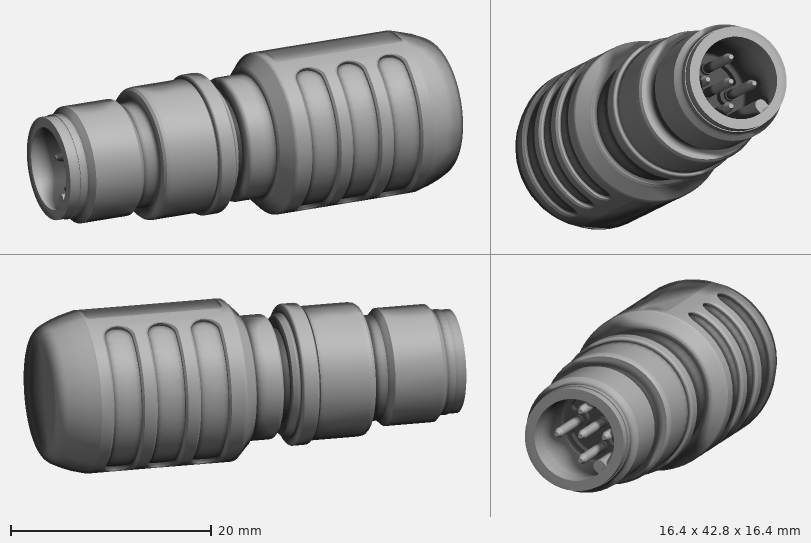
import cadquery as cq
import math

length = 42.8

lip_dia = 10.45
plug_neck_dia = 10.6
plug_dia = 11.85
lip_end = 1.1
plug_start = 2.53
plug_end = 7.55
plug_bevel = (plug_dia - plug_neck_dia) / 2

sleeve_dia = 13.5
sleeve_edge_dia = 13.35
sleeve_nose_dia = 12.93
sleeve_start = 9.7
sleeve_nose_length = 0.25
sleeve_edge_length = 0.4
sleeve_root_fillet = 0.3
sleeve_end = 15.5
ring_groove_dia = 13.15
ring_groove_width = 0.15
ring_dia = 14.25
ring_width = 1.75
ring_fillet = 0.25
ring_start = sleeve_end + ring_groove_width
ring_end = ring_start + ring_width

flange_dia = 12.5
flange_rear_dia = 12.0
flange_rim_length = 0.25
flange_end = 18.15
neck_dia = 9.6
collar_dia = 12.6
collar_start = 19.1
collar_fillet = 0.5

grip_dia = 16.4
grip_radius = grip_dia / 2
grip_front = 22.13
grip_front_dia = 13.82
grip_rim_length = 0.13
grip_rim_dia = 13.4
grip_bevel = (grip_dia - grip_front_dia) / 2
grip_shoulder_y = grip_front + grip_rim_length + grip_bevel
grip_cone_blend = 0.4
dome_start = 38.75
dome_start_dia = 16.3
dome_edge_length = 0.13
dome_chord_dia = 14.12
dome_chord_y = 41.8
dome_bulge = 0.13
rear_face_dia = 12.0
rear_corner_dia = 13.2
rear_corner_drop = 0.35

groove_count = 3
groove_pitch = 4.5
groove_middle_y = 31.3
groove_floor_radius = 7.7
groove_width = 2.9
groove_chamfer = 0.2
groove_half_angle = 57.7

label_width = 3.0
label_length = 14.1
label_middle_y = 31.25
label_corner = 0.4
label_height = 8.05

mouth_dia = 8.4
floor_fillet = 0.3
socket_depth = 8.55

pocket_depth = 0.85
pocket_dia = 7.1
pocket_corner = 0.43
boss_dia = 1.95
lobe_dia = 1.65
lobe_offset = 1.55

ring_pin_count = 4
ring_pin_step = 360 / ring_pin_count
pin_circle_dia = 5.0
pin_dia = 1.0
pin_foot_dia = 1.2
pin_foot_length = 0.43
pin_tip_dia = 0.45
pin_tip_y = 1.85
pin_taper_length = 0.75

key_width = 1.2
key_nose_distance = 3.6
key_start = 0.2
key_angle = -45.0

overlap = 0.43


def make_body():
    """Solid outer shape: one profile of radius against Y, turned about Y."""
    neck_y = plug_end + plug_bevel
    edge_y = sleeve_start + sleeve_nose_length
    dome_middle = ((dome_start_dia + dome_chord_dia) / 4 + dome_bulge, (dome_start + dome_chord_y) / 2)
    profile = (
        cq.Workplane("XY")
        .moveTo(0, 0)
        .lineTo(lip_dia / 2, 0)
        .lineTo(lip_dia / 2, lip_end)
        .lineTo(plug_neck_dia / 2, lip_end)
        .lineTo(plug_neck_dia / 2, plug_start - plug_bevel)
        .lineTo(plug_dia / 2, plug_start)
        .lineTo(plug_dia / 2, plug_end)
        .lineTo(plug_neck_dia / 2, neck_y)
        .lineTo(plug_neck_dia / 2, sleeve_start - sleeve_root_fillet)
        .radiusArc((plug_neck_dia / 2 + sleeve_root_fillet, sleeve_start), sleeve_root_fillet)
        .lineTo(sleeve_nose_dia / 2, sleeve_start)
        .lineTo(sleeve_edge_dia / 2, edge_y)
        .lineTo(sleeve_dia / 2, edge_y + sleeve_edge_length)
        .lineTo(sleeve_dia / 2, sleeve_end)
        .lineTo(ring_groove_dia / 2, sleeve_end)
        .lineTo(ring_groove_dia / 2, ring_start)
        .lineTo(ring_dia / 2 - ring_fillet, ring_start)
        .radiusArc((ring_dia / 2, ring_start + ring_fillet), -ring_fillet)
        .lineTo(ring_dia / 2, ring_end - ring_fillet)
        .radiusArc((ring_dia / 2 - ring_fillet, ring_end), -ring_fillet)
        .lineTo(flange_dia / 2, ring_end)
        .lineTo(flange_dia / 2, ring_end + flange_rim_length)
        .lineTo(flange_rear_dia / 2, flange_end)
        .lineTo(neck_dia / 2, flange_end)
        .lineTo(neck_dia / 2, collar_start)
        .lineTo(collar_dia / 2 - collar_fillet, collar_start)
        .radiusArc((collar_dia / 2, collar_start + collar_fillet), -collar_fillet)
        .lineTo(collar_dia / 2, grip_front)
        .lineTo(grip_rim_dia / 2, grip_front)
        .lineTo(grip_front_dia / 2, grip_front + grip_rim_length)
        .lineTo(grip_radius, grip_shoulder_y)
        .lineTo(grip_radius, dome_start - dome_edge_length)
        .lineTo(dome_start_dia / 2, dome_start)
        .threePointArc(dome_middle, (dome_chord_dia / 2, dome_chord_y))
        .threePointArc((rear_corner_dia / 2, length - rear_corner_drop), (rear_face_dia / 2, length))
        .lineTo(0, length)
        .close()
    )
    body = profile.revolve(360, (0, 0, 0), (0, 1, 0))
    cone_edge = cq.selectors.BoxSelector(
        (-grip_dia, grip_shoulder_y - grip_cone_blend, -grip_dia),
        (grip_dia, grip_shoulder_y + grip_cone_blend, grip_dia),
    )
    return body.edges(cone_edge).fillet(grip_cone_blend)


def make_groove():
    """Cutter for one groove at Y = 0 on the +X side: a swept band with round, flared ends."""
    half = groove_width / 2
    inner = groove_floor_radius
    outer = grip_radius + overlap
    flare_start = grip_radius - groove_chamfer
    flared_half = half + outer - flare_start
    wall = [(flare_start, half), (outer, flared_half)]
    mirrored_wall = [(radius, -offset) for radius, offset in reversed(wall)]

    band_profile = [(inner, -half), (inner, half)] + wall + mirrored_wall
    band = (
        cq.Workplane("XY")
        .polyline(band_profile)
        .close()
        .revolve(2 * groove_half_angle, (0, 0, 0), (0, 1, 0))
        .rotate((0, 0, 0), (0, 1, 0), -groove_half_angle)
    )
    end_profile = [(inner - overlap, 0), (inner - overlap, half)] + wall + [(outer, 0)]
    end = cq.Workplane("XY").polyline(end_profile).close().revolve(360, (0, 0, 0), (1, 0, 0))
    core = cq.Workplane("XZ").circle(inner).extrude(grip_radius, both=True)
    end = end.cut(core)
    for angle in (-groove_half_angle, groove_half_angle):
        band = band.union(end.rotate((0, 0, 0), (0, 1, 0), angle))
    return band


def cut_grooves(body):
    """Row of grooves along the grip, the same on the +X and -X sides."""
    groove = make_groove()
    opposite = groove.mirror("YZ")
    for index in range(groove_count):
        y = groove_middle_y + (index - (groove_count - 1) / 2) * groove_pitch
        body = body.cut(groove.translate((0, y, 0))).cut(opposite.translate((0, y, 0)))
    return body


def cut_labels(body):
    """Shallow flat with round corners on the top and on the bottom of the grip."""
    label = (
        cq.Workplane("XY")
        .box(label_width, label_length, overlap, centered=(True, True, False))
        .edges("|Z")
        .fillet(label_corner)
        .translate((0, label_middle_y, label_height))
    )
    return body.cut(label).cut(label.mirror("XY"))


def disc(diameter, start, end, x=0.0, z=0.0):
    """Cylinder along Y from start to end, centred on (x, z)."""
    return cq.Workplane("XZ", origin=(0, start, 0)).center(x, z).circle(diameter / 2).extrude(start - end)


def pin_centers():
    """Places of the pins in (x, z): one on the axis and the ring around it."""
    radius = pin_circle_dia / 2
    angles = [math.radians(turn * ring_pin_step) for turn in range(ring_pin_count)]
    return [(0.0, 0.0)] + [(radius * math.cos(angle), radius * math.sin(angle)) for angle in angles]


def make_pocket():
    """Core pocket below the floor; it leaves a boss or a round-ended web around each pin."""
    top = socket_depth
    bottom = socket_depth + pocket_depth
    reach = pocket_dia
    pocket = disc(pocket_dia, top, bottom)
    web_arm = (
        cq.Workplane("XY")
        .box(reach, pocket_depth, boss_dia, centered=(False, False, True))
        .translate((pin_circle_dia / 2, top, 0))
    )
    web = disc(boss_dia, top, bottom, pin_circle_dia / 2).union(web_arm)
    webs = [web.rotate((0, 0, 0), (0, 1, 0), turn * ring_pin_step) for turn in range(ring_pin_count)]
    for piece in webs:
        pocket = pocket.cut(piece)
    outer_corners = pocket.edges("|Y").filter(
        lambda edge: math.hypot(edge.Center().x, edge.Center().z) > pin_circle_dia / 2 + overlap
    )
    pocket = outer_corners.fillet(pocket_corner)

    key_quarter = (
        cq.Workplane("XY")
        .box(reach, pocket_depth, reach, centered=False)
        .translate((boss_dia / 2, top, -boss_dia / 2 - reach))
    )
    lobe = disc(lobe_dia, top, bottom, lobe_offset, -lobe_offset)
    pocket = pocket.cut(key_quarter).union(lobe)
    for piece in webs:
        pocket = pocket.cut(piece)
    return pocket.cut(disc(boss_dia, top, bottom))


def cut_socket(body):
    """Round socket with a filleted floor and the core pocket in that floor."""
    socket = disc(mouth_dia, 0, socket_depth).edges(">Y").fillet(floor_fillet)
    return body.cut(socket).cut(make_pocket())


def add_pins(body):
    """Pins with a tapered tip and a thicker foot, rooted in the socket floor."""
    root_y = socket_depth + overlap
    foot_y = socket_depth - pin_foot_length
    profile = [
        (0, pin_tip_y),
        (pin_tip_dia / 2, pin_tip_y),
        (pin_dia / 2, pin_tip_y + pin_taper_length),
        (pin_dia / 2, foot_y),
        (pin_foot_dia / 2, foot_y),
        (pin_foot_dia / 2, root_y),
        (0, root_y),
    ]
    pin = cq.Workplane("XY").polyline(profile).close().revolve(360, (0, 0, 0), (0, 1, 0))
    for x, z in pin_centers():
        body = body.union(pin.translate((x, 0, z)))
    return body


def add_key(body):
    """Round-nosed rib along the socket wall."""
    end_y = socket_depth + overlap
    outer_distance = (mouth_dia + lip_dia) / 4
    nose = disc(key_width, key_start, end_y, key_nose_distance)
    stem_size = (outer_distance - key_nose_distance, end_y - key_start, key_width)
    stem = (
        cq.Workplane("XY")
        .box(*stem_size, centered=(False, False, True))
        .translate((key_nose_distance, key_start, 0))
    )
    key = nose.union(stem).rotate((0, 0, 0), (0, 1, 0), -key_angle)
    return body.union(key)


result = make_body()
result = cut_grooves(result)
result = cut_labels(result)
result = cut_socket(result)
result = add_pins(result)
result = add_key(result)